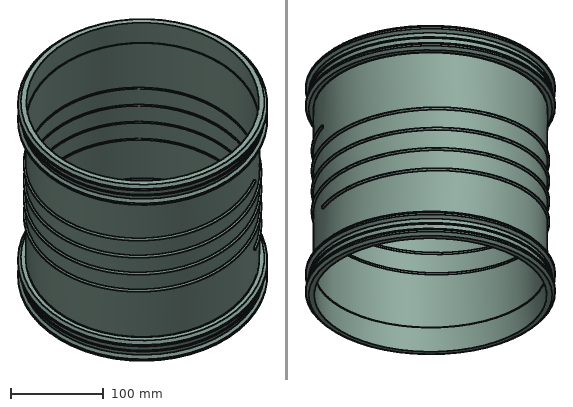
import cadquery as cq

total_height = 258.8
bore_diameter = 250.0
tube_outer_diameter = 251.8

fitting_height = 30.0
groove_diameter = 261.8
bead_diameter = 268.4
bead_height = 9.0
ridge_projection = 1.0
ridge_height = 1.0

seam_diameter = 2.8
seam_outer_diameter = 256.0
seam_pitch = 25.0
seam_turns = 4

bore_radius = bore_diameter / 2
groove_radius = groove_diameter / 2
bead_radius = bead_diameter / 2
bead_chamfer = bead_radius - groove_radius
seam_height = seam_pitch * seam_turns
seam_path_radius = (seam_outer_diameter - seam_diameter) / 2


def ring(inner_radius, outer_radius, bottom, height):
    """Plain ring around Z."""
    return (
        cq.Workplane("XY")
        .workplane(offset=bottom)
        .circle(outer_radius)
        .circle(inner_radius)
        .extrude(height)
    )


def bead(bottom):
    """Ring with both outer edges chamfered down to the groove floor."""
    return (
        ring(bore_radius, bead_radius, bottom, bead_height)
        .edges("%CIRCLE")
        .edges(cq.selectors.RadiusNthSelector(-1))
        .chamfer(bead_chamfer)
    )


def end_fitting(bottom):
    """Collar with a bead at each end and a ridge halfway up the groove between them."""
    ridge_bottom = bottom + (fitting_height - ridge_height) / 2
    collar = ring(bore_radius, groove_radius, bottom, fitting_height)
    ridge = ring(bore_radius, groove_radius + ridge_projection, ridge_bottom, ridge_height)
    lower_bead = bead(bottom)
    upper_bead = bead(bottom + fitting_height - bead_height)
    return collar.union(ridge).union(lower_bead).union(upper_bead)


def spiral_seam():
    """Right-handed round bead, centred on the tube's height, starting on the +X side."""
    start_height = (total_height - seam_height) / 2
    path = cq.Wire.makeHelix(seam_pitch, seam_height, seam_path_radius)
    return (
        cq.Workplane("XZ")
        .center(seam_path_radius, 0)
        .circle(seam_diameter / 2)
        .sweep(cq.Workplane(path), isFrenet=True)
        .translate((0, 0, start_height))
    )


def spiral_tube():
    """Thin tube between the fittings, with the seam standing out of its wall."""
    tube_height = total_height - 2 * fitting_height
    tube = ring(bore_radius, tube_outer_diameter / 2, fitting_height, tube_height)
    return tube.union(spiral_seam())


tube = spiral_tube()
fittings = [end_fitting(bottom) for bottom in (0, total_height - fitting_height)]

result = cq.Compound.makeCompound([tube.val(), *[fitting.val() for fitting in fittings]])